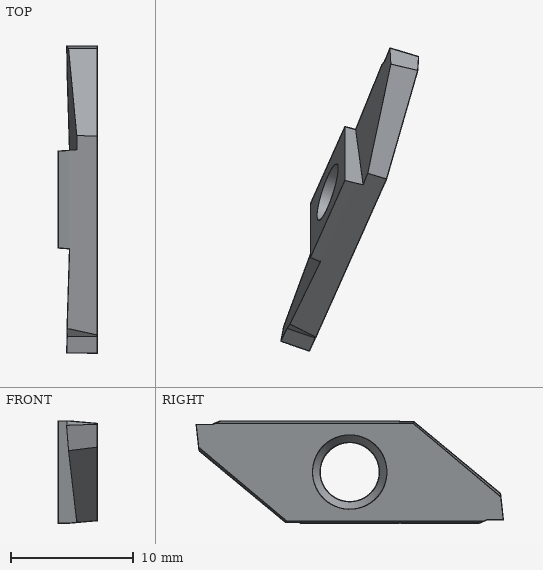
import cadquery as cq
import math

length = 25.02
height = 8.33
thickness = 3.18

straight_depth = 0.9
draft_angle = 5.0
slant_angle = 40.0

heel_y = 12.28
heel_z = 1.75
tip_z = 3.8
ramp_start_y = 10.5
ramp_end_y = 11.15
edge_tilt = 2.0

flank_x = 0.68
flank_slope_y = 0.031
flank_slope_z = 0.077

block_half_width = 3.95
block_side_angle = 4.0

hole_diameter = 4.8
rear_diameter = 6.05
cone_start = 1.4
cone_end = 2.4
cone_edge_radius = 0.38

half_length = length / 2
half_height = height / 2
margin = 1.25
selection_gap = 0.03
cutter_size = 2 * length


def other_end(solid):
    """Turn a solid half a turn about the X axis."""
    return solid.rotate((0, 0, 0), (1, 0, 0), 180)


def make_body():
    slope = math.tan(math.radians(slant_angle))
    top_corner_y = heel_y - (half_height + heel_z) / slope
    bottom_corner_y = heel_y + (half_height - heel_z) / slope
    outline = [
        (top_corner_y, half_height),
        (-bottom_corner_y, half_height),
        (-top_corner_y, -half_height),
        (bottom_corner_y, -half_height),
    ]
    front = cq.Workplane("YZ").polyline(outline).close().extrude(straight_depth)
    back = (
        cq.Workplane("YZ", origin=(straight_depth, 0, 0))
        .polyline(outline)
        .close()
        .extrude(thickness - straight_depth, taper=draft_angle)
    )
    return front.union(back)


def make_end_cutter():
    """Solid beyond the sloping end face at -Y."""
    end_slope = (half_length - heel_y) / (tip_z - heel_z)
    edge_z = tip_z + (thickness - flank_x) * math.tan(math.radians(edge_tilt))
    outline = [
        (-half_length - end_slope * (half_height - edge_z), half_height),
        (-heel_y + end_slope * (half_height + heel_z), -half_height),
        (-cutter_size, -half_height),
        (-cutter_size, half_height),
    ]
    return cq.Workplane("YZ").polyline(outline).close().extrude(thickness)


def make_edge_cutter():
    """Step and ramp above the cutting edge at -Y."""
    ramp_slope = (half_height - tip_z) / (ramp_end_y - ramp_start_y)
    outline = [
        (-half_length - margin, tip_z),
        (-ramp_end_y, tip_z),
        (-ramp_start_y + margin, half_height + margin * ramp_slope),
        (-half_length - margin, half_height + margin * ramp_slope),
    ]
    cutter = (
        cq.Workplane("YZ", origin=(-margin, 0, 0))
        .polyline(outline)
        .close()
        .extrude(thickness + 2 * margin)
    )
    return cutter.rotate((flank_x, 0, tip_z), (flank_x, 1, tip_z), -edge_tilt)


def make_flank_cutter():
    """Solid in front of the tilted flank of the arm at -Y."""
    flank = cq.Plane(
        origin=(flank_x, -half_length, tip_z),
        xDir=(flank_slope_y, 1, 0),
        normal=(-1, flank_slope_y, -flank_slope_z),
    )
    space = cq.Workplane(flank).rect(cutter_size, cutter_size).extrude(thickness)
    flare = math.tan(math.radians(block_side_angle))
    outline = [
        (-margin, -block_half_width + margin * flare),
        (thickness, -block_half_width - thickness * flare),
        (thickness, -length),
        (-margin, -length),
    ]
    arm_zone = (
        cq.Workplane("XY", origin=(0, 0, -half_height))
        .polyline(outline)
        .close()
        .extrude(height)
    )
    return space.intersect(arm_zone)


def make_hole():
    """Through hole that widens through a rounded cone toward the back."""
    profile = [
        (0, 0),
        (0, hole_diameter / 2),
        (cone_start, hole_diameter / 2),
        (cone_end, rear_diameter / 2),
        (thickness, rear_diameter / 2),
        (thickness, 0),
    ]
    hole = cq.Workplane("XY").polyline(profile).close().revolve(360, (0, 0, 0), (1, 0, 0))
    cone_edges = cq.selectors.BoxSelector(
        (cone_start - selection_gap, -length, -length),
        (cone_end + selection_gap, length, length),
        boundingbox=True,
    )
    return hole.edges("%CIRCLE").edges(cone_edges).fillet(cone_edge_radius)


body = make_body()
for cutter in (make_end_cutter(), make_edge_cutter(), make_flank_cutter()):
    body = body.cut(cutter).cut(other_end(cutter))

result = body.cut(make_hole()).translate((-thickness / 2, 0, 0))